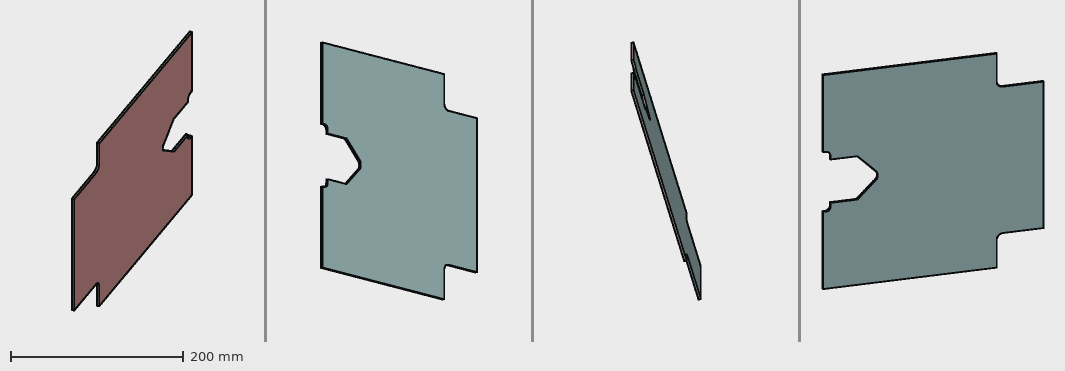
import cadquery as cq

thickness = 3.0
length = 269.0
height = 269.0

tab_length = 57.0
tab_height = 184.0
cutout_radius = 7.5

mouth_height = 75.0
mouth_depth = 9.0
mouth_radius = 6.0
neck_height = 54.5
neck_depth = 41.5
tip_height = 8.5
tip_start_depth = 65.5
tip_depth = 66.5

edge_y = length / 2
tab_root_y = -edge_y + tab_length
mouth_y = edge_y - mouth_depth
neck_y = edge_y - neck_depth
tip_start_y = edge_y - tip_start_depth
tip_y = edge_y - tip_depth


def round_edge(body, y, z, radius):
    """Fillet the X-parallel edge nearest to the given Y, Z position."""
    nearest = cq.selectors.NearestToPointSelector((0, y, z))
    return body.edges("|X").edges(nearest).fillet(radius)


def make_plate():
    """Rectangular sheet centred on the origin, facing X."""
    return cq.Workplane("XY").box(thickness, length, height)


def make_notch():
    """Cutter for the notch, symmetric about Z = 0, with the mouth corners rounded."""
    cutter = (
        cq.Workplane("YZ")
        .moveTo(edge_y, mouth_height / 2)
        .lineTo(mouth_y, mouth_height / 2)
        .lineTo(mouth_y, neck_height / 2)
        .lineTo(neck_y, neck_height / 2)
        .lineTo(tip_start_y, tip_height / 2)
        .threePointArc((tip_y, 0), (tip_start_y, -tip_height / 2))
        .lineTo(neck_y, -neck_height / 2)
        .lineTo(mouth_y, -neck_height / 2)
        .lineTo(mouth_y, -mouth_height / 2)
        .lineTo(edge_y, -mouth_height / 2)
        .close()
        .extrude(thickness / 2, both=True)
    )
    for side in (1, -1):
        cutter = round_edge(cutter, mouth_y, side * mouth_height / 2, mouth_radius)
    return cutter


def make_corner_cutout(side):
    """Cutter for the corner at -Y and the given Z side (+1 or -1)."""
    tab_edge_z = side * tab_height / 2
    outer_z = side * height / 2
    cutter = (
        cq.Workplane("YZ")
        .moveTo(-edge_y, tab_edge_z)
        .lineTo(tab_root_y, tab_edge_z)
        .lineTo(tab_root_y, outer_z)
        .lineTo(-edge_y, outer_z)
        .close()
        .extrude(thickness / 2, both=True)
    )
    return round_edge(cutter, tab_root_y, tab_edge_z, cutout_radius)


result = make_plate().cut(make_notch())
for z_side in (1, -1):
    result = result.cut(make_corner_cutout(z_side))